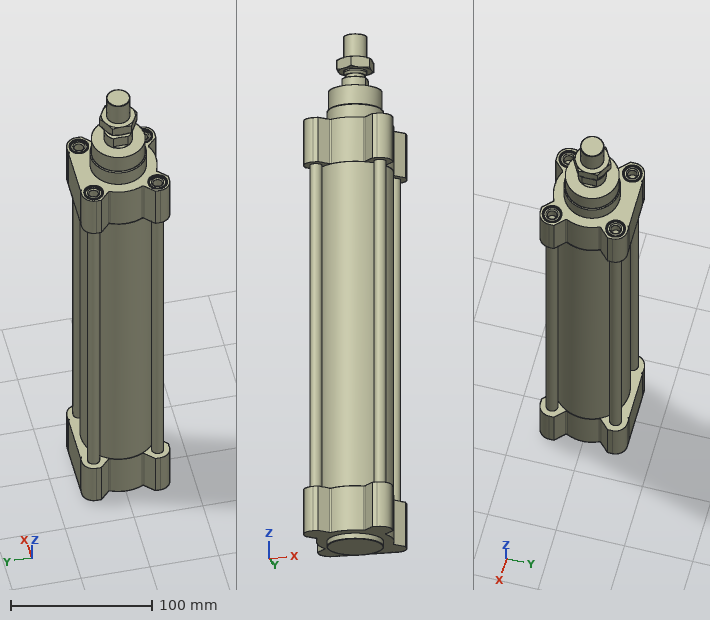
import cadquery as cq
import math


total_height = 377.8
spigot_height = 4.0
cap_height = 33.0
front_cap_top = 310.0
collar_step = 322.5
collar_top = 336.5

cap_side = 64.0
cap_disc_diameter = 55.0
tube_diameter = 54.5
collar_diameter = 40.0
nose_diameter = 38.0
spigot_chamfer = 0.5
collar_chamfer = 0.8
lug_diameter = 17.5
lug_root_fillet = 1.0
rim_tolerance = 0.05
tie_rod_diameter = 8.7

screw_bore_diameter = 13.2
screw_bore_rim_diameter = 14.0
screw_bore_depth = 1.5
screw_head_diameter = 12.0
screw_head_top_diameter = 11.5
screw_head_recess = 0.5
screw_countersink_diameter = 8.7
screw_thread_diameter = 6.8
screw_thread_depth = 7.5
drill_tip_height = 2.0

rod_diameter = 20.0
rod_flats_width = 17.0
flat_runout_height = 1.0
thread_diameter = 16.5
thread_end_diameter = 14.5
neck_diameter = 13.2
shoulder_height = 345.5
shoulder_chamfer_height = 0.8
thread_end_height = 349.0
thread_chamfer_height = 2.0
rod_end_chamfer = 0.5

nut_across_flats = 23.8
nut_height = 8.0
nut_bottom = 352.0
nut_chamfer_height = 0.8
nut_face_diameter = 24.0

front_cap_bottom = front_cap_top - cap_height
rear_cap_top = spigot_height + cap_height
tie_rod_offset = (cap_side - lug_diameter) / 2
lug_centres = [(x, y) for x in (-tie_rod_offset, tie_rod_offset) for y in (-tie_rod_offset, tie_rod_offset)]
nut_corner_diameter = nut_across_flats / math.cos(math.pi / 6)


def cylinder(diameter, bottom, top):
    """Upright cylinder on the Z axis."""
    return cq.Workplane("XY").workplane(offset=bottom).circle(diameter / 2).extrude(top - bottom)


def block(width, depth, bottom, top):
    """Upright box centred on the Z axis."""
    return cq.Workplane("XY").workplane(offset=bottom).rect(width, depth).extrude(top - bottom)


def revolve_profile(points):
    """Turn (radius, height) points about the Z axis."""
    return cq.Workplane("XZ").polyline(points).close().revolve(360, (0, 0), (0, 1))


def lies_on_disc_rim(edge):
    """True for an upright edge at the rim radius of the cap disc."""
    centre = edge.Center()
    return math.isclose(math.hypot(centre.x, centre.y), cap_disc_diameter / 2, abs_tol=rim_tolerance)


def make_cap(bottom):
    """Disc with four rounded corner lugs and a flat +Y side."""
    top = bottom + cap_height
    rounded_square = block(cap_side, cap_side, bottom, top).edges("|Z").fillet(lug_diameter / 2)
    diagonal = block(2 * cap_side, lug_diameter, bottom, top)
    cross = diagonal.rotate((0, 0, 0), (0, 0, 1), 45).union(diagonal.rotate((0, 0, 0), (0, 0, 1), -45))
    lugs = rounded_square.intersect(cross)
    web_depth = cap_side / 2
    web = block(2 * tie_rod_offset - lug_diameter / 2, web_depth, bottom, top).translate((0, web_depth / 2, 0))
    cap = cylinder(cap_disc_diameter, bottom, top).union(lugs).union(web)
    lug_roots = cap.edges("|Z").filter(lies_on_disc_rim)
    return cap.newObject(lug_roots.vals()).fillet(lug_root_fillet)


def make_screw_recess():
    """Ring gap around a screw head, with the head's threaded blind hole."""
    bore_floor = front_cap_top - screw_bore_depth
    head_top = front_cap_top - screw_head_recess
    rim_height = (screw_bore_rim_diameter - screw_bore_diameter) / 2
    head_edge_height = (screw_head_diameter - screw_head_top_diameter) / 2
    bore = revolve_profile([
        (0, bore_floor),
        (screw_bore_diameter / 2, bore_floor),
        (screw_bore_diameter / 2, front_cap_top - rim_height),
        (screw_bore_rim_diameter / 2, front_cap_top),
        (0, front_cap_top),
    ])
    head = cylinder(screw_head_diameter, bore_floor, head_top).faces(">Z").chamfer(head_edge_height)
    countersink_height = (screw_countersink_diameter - screw_thread_diameter) / 2
    thread_floor = head_top - screw_thread_depth
    threaded_hole = revolve_profile([
        (0, head_top),
        (screw_countersink_diameter / 2, head_top),
        (screw_thread_diameter / 2, head_top - countersink_height),
        (screw_thread_diameter / 2, thread_floor),
        (0, thread_floor - drill_tip_height),
    ])
    return bore.cut(head).union(threaded_hole)


def make_housing():
    spigot = cylinder(collar_diameter, 0, spigot_height).faces("<Z").chamfer(spigot_chamfer)
    collar = cylinder(collar_diameter, front_cap_top, collar_step).faces(">Z").chamfer(collar_chamfer)
    nose = cylinder(nose_diameter, front_cap_top, collar_top)
    tube = cylinder(tube_diameter, rear_cap_top, front_cap_bottom)
    housing = make_cap(spigot_height).union(spigot).union(tube)
    housing = housing.union(make_cap(front_cap_bottom)).union(collar).union(nose)

    tie_rod = cylinder(tie_rod_diameter, rear_cap_top, front_cap_bottom)
    screw_recess = make_screw_recess()
    for x, y in lug_centres:
        housing = housing.union(tie_rod.translate((x, y, 0)))
        housing = housing.cut(screw_recess.translate((x, y, 0)))

    rod_bore = cylinder(rod_diameter, front_cap_bottom, collar_top)
    return housing.cut(rod_bore)


def make_piston_rod():
    rod_radius = rod_diameter / 2
    thread_radius = thread_diameter / 2
    rod = revolve_profile([
        (0, front_cap_bottom),
        (rod_radius, front_cap_bottom),
        (rod_radius, shoulder_height),
        (thread_end_diameter / 2, shoulder_height + shoulder_chamfer_height),
        (neck_diameter / 2, shoulder_height + shoulder_chamfer_height),
        (neck_diameter / 2, thread_end_height),
        (thread_end_diameter / 2, thread_end_height),
        (thread_radius, thread_end_height + thread_chamfer_height),
        (thread_radius, total_height - rod_end_chamfer),
        (thread_radius - rod_end_chamfer, total_height),
        (0, total_height),
    ])
    flat_depth = (rod_diameter - rod_flats_width) / 2
    flat = (
        cq.Workplane("XZ")
        .polyline([
            (rod_radius, collar_top),
            (rod_radius - flat_depth, collar_top + flat_runout_height),
            (rod_radius - flat_depth, thread_end_height),
            (rod_radius, thread_end_height),
        ])
        .close()
        .extrude(rod_radius, both=True)
    )
    return rod.cut(flat).cut(flat.mirror("YZ"))


def make_nut():
    nut_top = nut_bottom + nut_height
    hexagon = (
        cq.Workplane("XY")
        .workplane(offset=nut_bottom)
        .polygon(6, nut_corner_diameter)
        .extrude(nut_height)
        .rotate((0, 0, 0), (0, 0, 1), 30)
    )
    turned_envelope = revolve_profile([
        (0, nut_bottom),
        (nut_face_diameter / 2, nut_bottom),
        (nut_corner_diameter / 2, nut_bottom + nut_chamfer_height),
        (nut_corner_diameter / 2, nut_top - nut_chamfer_height),
        (nut_face_diameter / 2, nut_top),
        (0, nut_top),
    ])
    nut_bore = cylinder(thread_diameter, nut_bottom, nut_top)
    return hexagon.intersect(turned_envelope).cut(nut_bore)


housing = make_housing()
piston_rod = make_piston_rod()
nut = make_nut()

result = cq.Compound.makeCompound([housing.val(), piston_rod.val(), nut.val()])